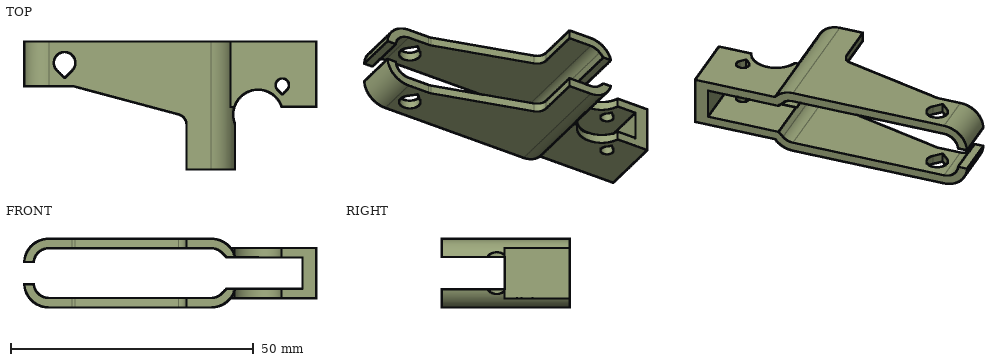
import cadquery as cq
import math

total_length = 60.22
total_depth = 26.41
total_height = 14.2

wall = 2.0
outer_bend_radius = 5.1
inner_bend_radius = outer_bend_radius - wall
bend_height = total_height / 2 - outer_bend_radius
bend_spacing = 33.45
claw_gap = 4.5

block_height = 10.4
block_depth = 13.45
end_wall = 2.9
slot_height = block_height - 2 * wall
relief_height = 6.6

claw_depth = 9.25
taper_start_x = 5.1
taper_angle = math.radians(15)
outline_radius = 2.2

claw_hole_radius = 2.2
claw_hole_center = (3.25, -4.4)
block_hole_radius = 1.35
block_hole_center = (48.1, -9.0)

round_notch_radius = 5.1
round_notch_center = (43.1, -15.05)

claw_tip_x = -math.sqrt(outer_bend_radius**2 - (claw_gap / 2 - bend_height) ** 2)
right_end_x = claw_tip_x + total_length
slot_end_x = right_end_x - end_wall
finger_left_x = bend_spacing - outer_bend_radius
finger_right_x = bend_spacing + outer_bend_radius
relief_start_y = round_notch_center[1] + round_notch_radius
taper_end_y = -claw_depth - (finger_left_x - taper_start_x) * math.tan(taper_angle)


def centered_bar(x_min, x_max, height, depth):
    """Bar from x_min to x_max, centred on Z = 0, running from the back edge to -depth."""
    return (
        cq.Workplane("XY")
        .box(x_max - x_min, depth, height, centered=(False, False, True))
        .translate((x_min, -depth, 0))
    )


def rounded_bar(radius):
    """Full-depth bar along the arms, its four long edges rounded about the bend axes."""
    return centered_bar(
        -radius, bend_spacing + radius, 2 * (bend_height + radius), total_depth
    ).edges("|Y").fillet(radius)


def teardrop_cutter(center, radius):
    """Vertical cutter: a circle with 45 degree flanks meeting in a point toward -Y."""
    center_x, center_y = center
    flank = radius * math.sqrt(0.5)
    return (
        cq.Workplane("XY", origin=(center_x, center_y, -total_height / 2))
        .moveTo(-flank, -flank)
        .threePointArc((0, radius), (flank, -flank))
        .lineTo(0, -2 * flank)
        .close()
        .extrude(total_height)
    )


def funnel_cutter():
    """45 degree flanks that narrow the inside of the right bends down to the block slot."""
    flank = inner_bend_radius * math.sqrt(0.5)
    tangent_x = bend_spacing + flank
    tangent_z = bend_height + flank
    funnel_length = tangent_z - slot_height / 2
    return (
        cq.Workplane("XZ")
        .moveTo(tangent_x, -tangent_z)
        .lineTo(tangent_x + funnel_length, -slot_height / 2)
        .lineTo(tangent_x + funnel_length, slot_height / 2)
        .lineTo(tangent_x, tangent_z)
        .close()
        .extrude(total_depth)
    )


def inner_cavity():
    """Space between the arms: rounded at the claw, funnelled toward the block."""
    flank_x = bend_spacing + inner_bend_radius * math.sqrt(0.5)
    rounded = rounded_bar(inner_bend_radius).intersect(
        centered_bar(-outer_bend_radius, flank_x, total_height, total_depth)
    )
    return rounded.union(funnel_cutter())


def arm_outline():
    """Plan shape of the arms: narrow claw, tapered web and a finger reaching toward -Y."""
    outline = (
        cq.Workplane("XY", origin=(0, 0, -total_height / 2))
        .moveTo(-outer_bend_radius, 0)
        .lineTo(-outer_bend_radius, -claw_depth)
        .lineTo(taper_start_x, -claw_depth)
        .lineTo(finger_left_x, taper_end_y)
        .lineTo(finger_left_x, -total_depth)
        .lineTo(finger_right_x, -total_depth)
        .lineTo(finger_right_x, 0)
        .close()
        .extrude(total_height)
    )
    for corner in ((taper_start_x, -claw_depth, 0), (finger_left_x, taper_end_y, 0)):
        outline = outline.edges(cq.selectors.NearestToPointSelector(corner)).fillet(outline_radius)
    return outline


arms = rounded_bar(outer_bend_radius).intersect(arm_outline())
block = centered_bar(bend_spacing, right_end_x, block_height, block_depth)

claw_opening = centered_bar(-outer_bend_radius, 0, claw_gap, total_depth)
block_slot = centered_bar(bend_spacing, slot_end_x, slot_height, total_depth)
relief_slot = centered_bar(
    bend_spacing, round_notch_center[0], relief_height, total_depth + relief_start_y
).translate((0, relief_start_y, 0))
round_notch = (
    cq.Workplane("XY", origin=(*round_notch_center, -total_height / 2))
    .circle(round_notch_radius)
    .extrude(total_height)
)

result = arms.union(block)
for cutter in (
    inner_cavity(),
    claw_opening,
    block_slot,
    relief_slot,
    round_notch,
    teardrop_cutter(claw_hole_center, claw_hole_radius),
    teardrop_cutter(block_hole_center, block_hole_radius),
):
    result = result.cut(cutter)